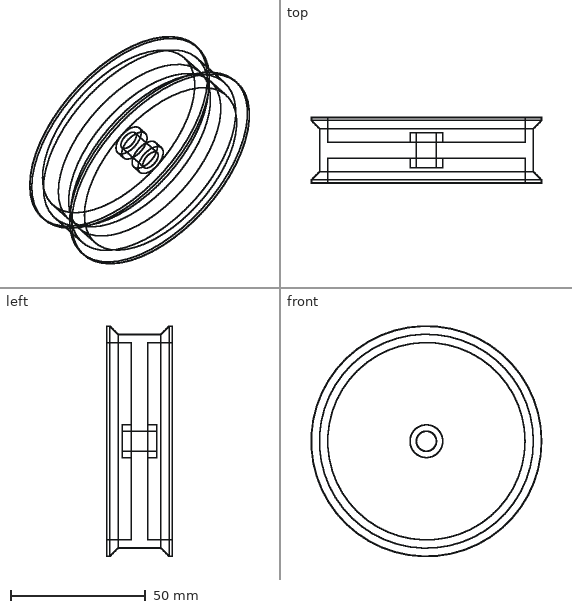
import cadquery as cq

outer_radius = 42.8
groove_radius = 39.7
recess_radius = 36.65
hub_radius = 6.1
bore_radius = 3.7

width = 24.5
lip_width = 1.2
flange_width = 4.3
recess_depth = 9.25
hub_height = 3.4

half_width = width / 2
half_lip = half_width - lip_width
half_groove = half_width - flange_width
half_web = half_width - recess_depth
half_hub = half_web + hub_height

half_profile = [
    (bore_radius, half_hub),
    (hub_radius, half_hub),
    (hub_radius, half_web),
    (recess_radius, half_web),
    (recess_radius, half_width),
    (outer_radius, half_width),
    (outer_radius, half_lip),
    (groove_radius, half_groove),
]
mirrored_profile = [(radius, -y) for radius, y in reversed(half_profile)]

result = (
    cq.Workplane("XY")
    .polyline(half_profile + mirrored_profile)
    .close()
    .revolve(360, (0, 0, 0), (0, 1, 0))
)